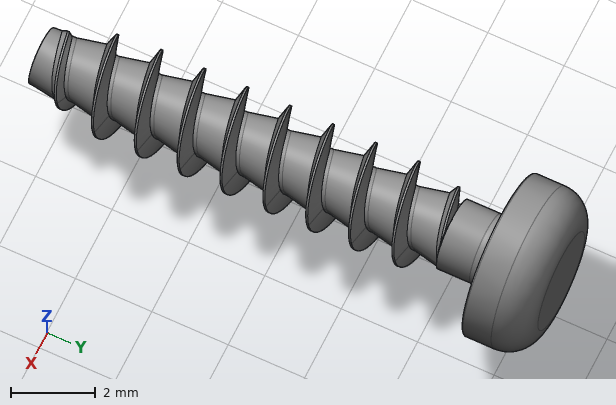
import cadquery as cq
import math

LENGTH = 13.6
HEAD_DIAMETER = 4.2
HEAD_RADIUS = HEAD_DIAMETER / 2
HEAD_HEIGHT = 1.6
HEAD_ROUND = 0.83
HEAD_EDGE_ROUND = 0.04
SHANK_RADIUS = 0.9
SHANK_END_DEPTH = 2.84
NECK_FILLET = 0.37

CORE_RADIUS = 0.72
SHOULDER_RADIUS = 0.87
FLANK_FOOT_RADIUS = 0.71
FADED_RADIUS = 0.71
BURIED_RADIUS = 0.61
CREST_RADIUS = 1.26
TURNS_AFTER_X = 8
TURNS_AFTER_X_LENGTH = 8.98
PITCH = TURNS_AFTER_X_LENGTH / TURNS_AFTER_X
CREST_WIDTH = 0.05
ROOT_WIDTH = 0.3
TURN_GAP = 0.03

CREST_DEPTH_AT_X = 4.91
START_CREST_RADIUS = 0.92
RAMP_IN_START = 2.45
RAMP_IN_END = 3.95
RAMP_OUT_START = 11.9
RAMP_OUT_END = 13.46
SHOULDER_FADE_START = 12.38
POINTS_PER_TURN = 16
TURNS_BEFORE_X = 3


def blend(depth, start, end, first, last):
    """Linear change from first to last between two depths, constant outside them."""
    fraction = min(1.0, max(0.0, (depth - start) / (end - start)))
    return first + fraction * (last - first)


def crest_radius(depth):
    if depth < RAMP_IN_END:
        return blend(depth, RAMP_IN_START, RAMP_IN_END, START_CREST_RADIUS, CREST_RADIUS)
    return blend(depth, RAMP_OUT_START, RAMP_OUT_END, CREST_RADIUS, FADED_RADIUS)


def shoulder_radius(depth):
    return blend(depth, SHOULDER_FADE_START, RAMP_OUT_END, SHOULDER_RADIUS, FADED_RADIUS)


def flank_foot_radius(depth):
    return FLANK_FOOT_RADIUS


def buried_radius(depth):
    return BURIED_RADIUS


def helix_edge(radius_at, offset, turn):
    """One turn of right-handed helix following radius_at, shifted toward the tip by offset."""
    points = []
    for step in range(POINTS_PER_TURN + 1):
        turns = turn + step / POINTS_PER_TURN
        angle = 2 * math.pi * turns
        depth = CREST_DEPTH_AT_X + PITCH * turns
        radius = radius_at(depth)
        points.append(
            cq.Vector(radius * math.cos(angle), LENGTH - depth - offset, radius * math.sin(angle))
        )
    return cq.Edge.makeSpline(points)


def make_body():
    """Head, neck fillet, shank and core as one revolved outline."""
    head_base = LENGTH - HEAD_HEIGHT
    shank_end = LENGTH - SHANK_END_DEPTH
    diagonal = math.sqrt(0.5)
    round_center = (HEAD_RADIUS - HEAD_ROUND, LENGTH - HEAD_ROUND)
    edge_center = (HEAD_RADIUS - HEAD_EDGE_ROUND, head_base + HEAD_EDGE_ROUND)
    fillet_center = (SHANK_RADIUS + NECK_FILLET, head_base - NECK_FILLET)
    outline = (
        cq.Workplane("XY")
        .lineTo(CORE_RADIUS, 0)
        .lineTo(CORE_RADIUS, shank_end)
        .lineTo(SHANK_RADIUS, shank_end)
        .lineTo(SHANK_RADIUS, fillet_center[1])
        .threePointArc(
            (fillet_center[0] - NECK_FILLET * diagonal, fillet_center[1] + NECK_FILLET * diagonal),
            (fillet_center[0], head_base),
        )
        .lineTo(edge_center[0], head_base)
        .threePointArc(
            (edge_center[0] + HEAD_EDGE_ROUND * diagonal, edge_center[1] - HEAD_EDGE_ROUND * diagonal),
            (HEAD_RADIUS, edge_center[1]),
        )
        .lineTo(HEAD_RADIUS, round_center[1])
        .threePointArc(
            (round_center[0] + HEAD_ROUND * diagonal, round_center[1] + HEAD_ROUND * diagonal),
            (round_center[0], LENGTH),
        )
        .lineTo(0, LENGTH)
        .close()
    )
    return outline.revolve(360, (0, 0, 0), (0, 1, 0))


def make_turn(turn):
    """One turn of the ridge and its tapering tail, closed by a flat face at each end."""
    head_side = -ROOT_WIDTH / 2
    tail_end = head_side + PITCH - TURN_GAP
    corners = [
        (buried_radius, head_side),
        (flank_foot_radius, head_side),
        (crest_radius, -CREST_WIDTH / 2),
        (crest_radius, CREST_WIDTH / 2),
        (shoulder_radius, ROOT_WIDTH / 2),
        (flank_foot_radius, tail_end),
        (buried_radius, tail_end),
    ]
    edges = [helix_edge(radius_at, offset, turn) for radius_at, offset in corners]
    faces = []
    for index, edge in enumerate(edges):
        following = edges[(index + 1) % len(edges)]
        faces.append(cq.Face.makeRuledSurface(edge, following))
    for ends in ([edge.startPoint() for edge in edges], [edge.endPoint() for edge in edges]):
        faces.append(cq.Face.makeFromWires(cq.Wire.makePolygon(ends, close=True)))
    return cq.Solid.makeSolid(cq.Shell.makeShell(faces))


def add_thread(body):
    """Fuse the turns to the body, trimmed to the length between shank and tip."""
    threaded_length = LENGTH - SHANK_END_DEPTH
    limits = cq.Workplane("XZ").circle(HEAD_RADIUS).extrude(-threaded_length)
    for turn in range(-TURNS_BEFORE_X, TURNS_AFTER_X):
        body = body.union(cq.Workplane(make_turn(turn)).intersect(limits))
    return body


result = add_thread(make_body())